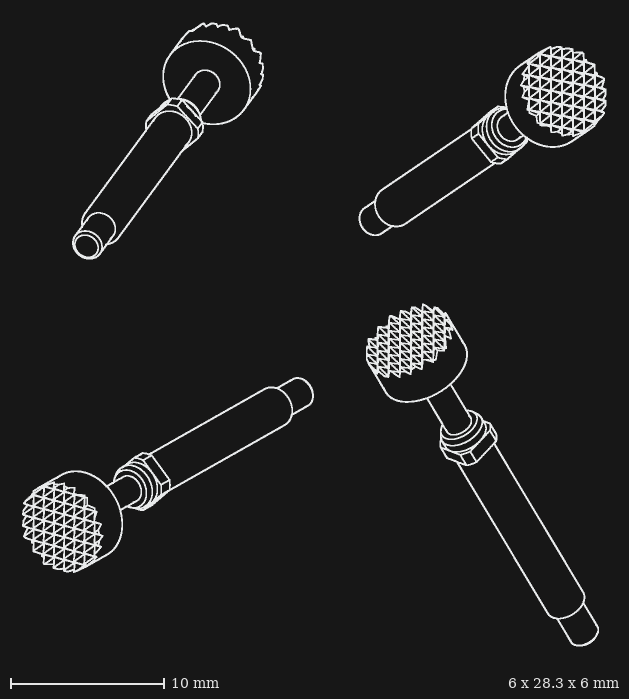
import cadquery as cq
import math


head_diameter = 6.0
stem_diameter = 1.8
collar_diameter = 2.98
barrel_diameter = 2.7
tail_diameter = 2.0

head_length = 3.0
stem_length = 5.3
collar_length = 1.0
collar_taper_length = 0.4
flange_thickness = 1.0
barrel_length = 15.0
tail_length = 3.0

flange_across_flats = 3.0
flange_corner_diameter = 3.6

collar_taper_angle = 25.0
barrel_fillet = 0.2
tail_chamfer = 0.2

tooth_pitch = 0.8
groove_angle = 60.0
groove_depth = tooth_pitch / 2 / math.tan(math.radians(groove_angle / 2))

flange_top = flange_thickness
collar_top = flange_top + collar_length
head_base = collar_top + stem_length
head_top = head_base + head_length
barrel_end = -barrel_length


def cylinder(diameter, start, length):
    """Round bar on the Y axis running from start towards +Y."""
    plane = cq.Plane(origin=(0, start, 0), xDir=(1, 0, 0), normal=(0, 1, 0))
    return cq.Workplane(plane).circle(diameter / 2).extrude(length)


def make_head():
    """Disc whose +Y face is cut into pyramid teeth."""
    head = cylinder(head_diameter, head_base, head_length)
    groove = (
        cq.Workplane("XY")
        .moveTo(0, head_top - groove_depth)
        .lineTo(tooth_pitch / 2, head_top)
        .lineTo(-tooth_pitch / 2, head_top)
        .close()
        .extrude(head_diameter / 2, both=True)
    )
    outermost_groove = math.ceil(head_diameter / 2 / tooth_pitch)
    for index in range(-outermost_groove, outermost_groove + 1):
        groove_along_z = groove.translate((index * tooth_pitch, 0, 0))
        groove_along_x = groove_along_z.rotate((0, 0, 0), (0, 1, 0), 90)
        head = head.cut(groove_along_z).cut(groove_along_x)
    return head


def make_collar():
    """Collar with a short taper at the end facing the head."""
    taper_depth = collar_taper_length * math.tan(math.radians(collar_taper_angle))
    collar = cylinder(collar_diameter, flange_top, collar_length)
    return collar.faces(">Y").chamfer(collar_taper_length, taper_depth)


def make_flange():
    """Square flange with its corners turned down to a circle."""
    square = (
        cq.Workplane("XY")
        .box(flange_across_flats, flange_thickness, flange_across_flats)
        .translate((0, flange_thickness / 2, 0))
        .rotate((0, 0, 0), (0, 1, 0), 45)
    )
    return square.intersect(cylinder(flange_corner_diameter, 0, flange_thickness))


stem = cylinder(stem_diameter, collar_top, stem_length)
barrel = cylinder(barrel_diameter, barrel_end, barrel_length).faces("<Y").fillet(barrel_fillet)
tail = cylinder(tail_diameter, barrel_end - tail_length, tail_length).faces("<Y").chamfer(tail_chamfer)

result = (
    make_head()
    .union(stem)
    .union(make_collar())
    .union(make_flange())
    .union(barrel)
    .union(tail)
)